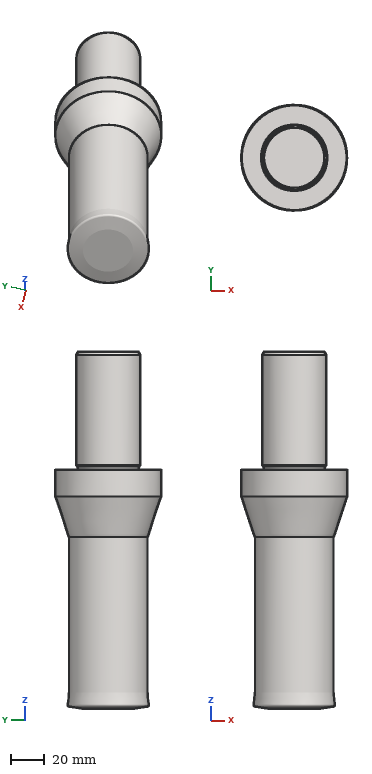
import cadquery as cq
import math

total_height = 212.0
rim_taper_top = 9.5
shank_top = 102.0
flare_bottom = 103.3
collar_bottom = 126.2
collar_top = 142.0
stem_bottom = 144.6

collar_diameter = 63.0
collar_radius = collar_diameter / 2
shank_diameter = 46.9
shank_radius = shank_diameter / 2
flare_bottom_radius = 24.0
rim_radius = 24.2
foot_radius = 14.8
stem_radius = 19.0
neck_radius = 18.2
mouth_radius = 19.7

foot_rise = 1.3
rim_rounding = 1.3
collar_edge_chamfer = 0.5
stem_chamfer_width = 1.3
stem_chamfer_height = 2.0
neck_chamfer = stem_radius - neck_radius
mouth_depth = 1.5
socket_depth = 4.2

socket_bottom = collar_top - socket_depth


def revolve_outline(outline):
    """Revolve a closed radius-height outline about the vertical axis."""
    return outline.close().revolve(360, (0, 0, 0), (0, 1, 0))


def make_housing():
    """Flared housing with a tapered lower rim, a shallow conical foot and a socket."""
    rim_bottom = foot_rise + rim_rounding
    rounding_center_radius = rim_radius - rim_rounding
    rounding_mid_offset = rim_rounding * math.sqrt(0.5)
    outline = (
        cq.Workplane("XZ")
        .moveTo(0, 0)
        .lineTo(foot_radius, 0)
        .lineTo(rounding_center_radius, foot_rise)
        .threePointArc(
            (rounding_center_radius + rounding_mid_offset, rim_bottom - rounding_mid_offset),
            (rim_radius, rim_bottom),
        )
        .lineTo(shank_radius, rim_taper_top)
        .lineTo(shank_radius, shank_top)
        .lineTo(flare_bottom_radius, flare_bottom)
        .lineTo(collar_radius, collar_bottom)
        .lineTo(collar_radius, collar_top - collar_edge_chamfer)
        .lineTo(collar_radius - collar_edge_chamfer, collar_top)
        .lineTo(mouth_radius, collar_top)
        .lineTo(neck_radius, collar_top - mouth_depth)
        .lineTo(neck_radius, socket_bottom)
        .lineTo(0, socket_bottom)
    )
    return revolve_outline(outline)


def make_plunger():
    """Chamfered stem standing on a narrower neck that sits in the housing socket."""
    outline = (
        cq.Workplane("XZ")
        .moveTo(0, socket_bottom)
        .lineTo(neck_radius, socket_bottom)
        .lineTo(neck_radius, stem_bottom - neck_chamfer)
        .lineTo(stem_radius, stem_bottom)
        .lineTo(stem_radius, total_height - stem_chamfer_height)
        .lineTo(stem_radius - stem_chamfer_width, total_height)
        .lineTo(0, total_height)
    )
    return revolve_outline(outline)


housing = make_housing()
plunger = make_plunger()
result = cq.Compound.makeCompound([housing.val(), plunger.val()])